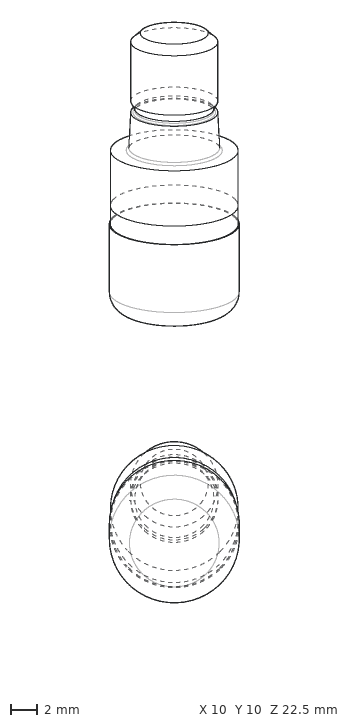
import cadquery as cq

total_height = 22.5

cap_radius = 5.0
cap_shoulder = 7.05
cap_height = 8.53
cap_bottom_fillet = 1.55

collar_radius = 4.9
collar_top = 13.0
neck_base_radius = 3.49
neck_top_radius = 3.35
neck_top = 16.09
neck_foot_fillet = 0.2
groove_radius = 3.04
groove_foot_fillet = 0.14
groove_top = 16.38
shank_radius = 3.35
shank_bottom = 16.99
tip_radius = 2.6
tip_chamfer_height = 0.7


def make_cap():
    """Solid round cap with a rounded bottom edge and an upper band flush with the collar."""
    cap = cq.Workplane("XY").circle(cap_radius).extrude(cap_shoulder)
    cap = cap.faces("<Z").edges().fillet(cap_bottom_fillet)
    return cap.faces(">Z").workplane().circle(collar_radius).extrude(cap_height - cap_shoulder)


def make_stud():
    """Collar, tapered neck, relief groove and chamfered shank turned about Z."""
    fillet_start_radius = neck_base_radius + neck_foot_fillet
    fillet_end_height = collar_top + neck_foot_fillet
    groove_foot_radius = groove_radius + groove_foot_fillet
    groove_wall_bottom = neck_top + groove_foot_fillet
    profile = (
        cq.Workplane("XZ")
        .moveTo(0, cap_height)
        .lineTo(collar_radius, cap_height)
        .lineTo(collar_radius, collar_top)
        .lineTo(fillet_start_radius, collar_top)
        .radiusArc((neck_base_radius, fillet_end_height), neck_foot_fillet)
        .lineTo(neck_top_radius, neck_top)
        .lineTo(groove_foot_radius, neck_top)
        .radiusArc((groove_radius, groove_wall_bottom), groove_foot_fillet)
        .lineTo(groove_radius, groove_top)
        .lineTo(shank_radius, shank_bottom)
        .lineTo(shank_radius, total_height - tip_chamfer_height)
        .lineTo(tip_radius, total_height)
        .lineTo(0, total_height)
        .close()
    )
    return profile.revolve(360, (0, 0, 0), (0, 1, 0))


cap = make_cap()
stud = make_stud()

result = cq.Compound.makeCompound([cap.val(), stud.val()])